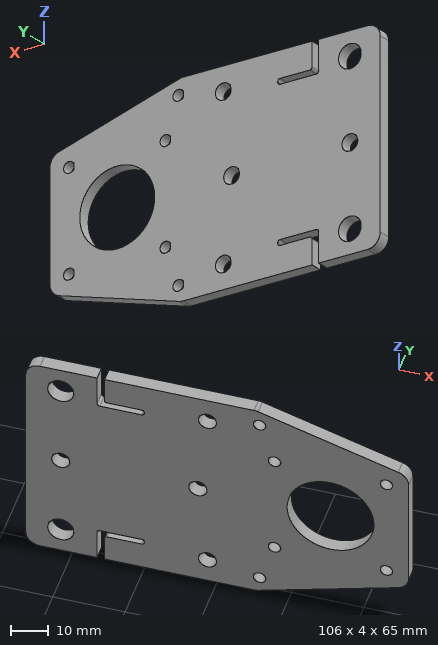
import cadquery as cq

length = 106.0
width = 65.0
thickness = 4.0
half_width = width / 2
corner_radius = 4.0

taper_start_x = 63.8
nose_half_width = 20.0

slot_left_x = 19.8
slot_end_x = 32.9
slot_entry_width = 2.0
slot_leg_width = 1.7
slot_depth = 10.0
slot_corner_radius = 0.7

large_hole_diameter = 7.2
medium_hole_diameter = 5.0
small_hole_diameter = 3.4
left_holes_x = 9.8
middle_hole_x = 47.7
side_holes_x = 50.4
side_holes_z = 25.0
edge_holes_x = 64.8
edge_holes_z = 27.6

motor_x = 84.4
motor_opening_diameter = 24.0
motor_hole_spacing = 31.0


def make_plate():
    """Plate with a tapered nose and rounded corners, centred on Y = 0."""
    outline = [
        (0, -half_width),
        (taper_start_x, -half_width),
        (length, -nose_half_width),
        (length, nose_half_width),
        (taper_start_x, half_width),
        (0, half_width),
    ]
    plate = cq.Workplane("XZ").polyline(outline).close().extrude(thickness / 2, both=True)
    return plate.edges("|Y").fillet(corner_radius)


def make_slot():
    """Cutter for the slot in the +Z edge: an entry and a leg turned toward +X."""
    mouth_z = half_width + slot_entry_width
    bottom_z = half_width - slot_depth
    leg_top_z = bottom_z + slot_leg_width
    entry_right_x = slot_left_x + slot_entry_width
    outline = [
        (slot_left_x, mouth_z),
        (slot_left_x, bottom_z),
        (slot_end_x, bottom_z),
        (slot_end_x, leg_top_z),
        (entry_right_x, leg_top_z),
        (entry_right_x, mouth_z),
    ]
    slot = cq.Workplane("XZ").polyline(outline).close().extrude(thickness, both=True)
    return slot.edges("|Y").fillet(slot_corner_radius)


def mirrored(x, z):
    """A pair of points on either side of the centreline."""
    return [(x, z), (x, -z)]


def make_holes(centres, diameter):
    """Cutters for through holes at the given X, Z centres."""
    return cq.Workplane("XZ").pushPoints(centres).circle(diameter / 2).extrude(thickness, both=True)


half_spacing = motor_hole_spacing / 2
large_holes = mirrored(left_holes_x, side_holes_z)
medium_holes = [(left_holes_x, 0), (middle_hole_x, 0)] + mirrored(side_holes_x, side_holes_z)
small_holes = (
    mirrored(edge_holes_x, edge_holes_z)
    + mirrored(motor_x - half_spacing, half_spacing)
    + mirrored(motor_x + half_spacing, half_spacing)
)

upper_slot = make_slot()
result = make_plate().cut(upper_slot).cut(upper_slot.mirror("XY"))
for centres, diameter in [
    (large_holes, large_hole_diameter),
    (medium_holes, medium_hole_diameter),
    (small_holes, small_hole_diameter),
    ([(motor_x, 0)], motor_opening_diameter),
]:
    result = result.cut(make_holes(centres, diameter))